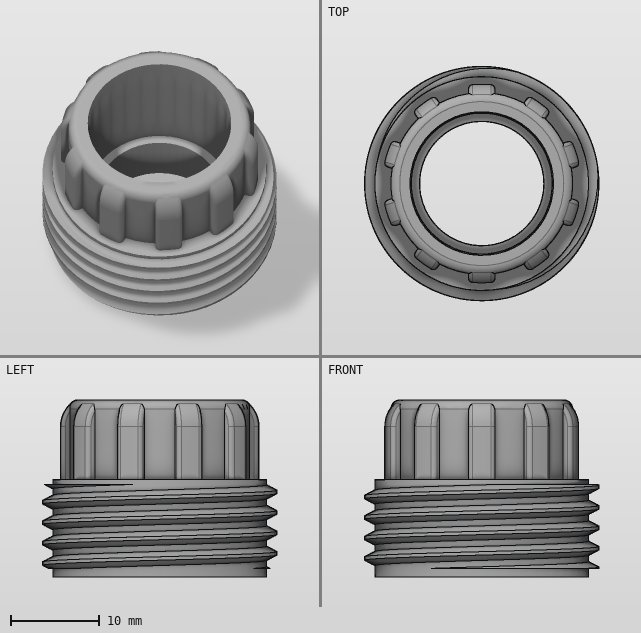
import cadquery as cq
import math

total_height = 20.0
body_height = 11.0

thread_major_diameter = 26.44
thread_minor_diameter = 24.12
pitch = 25.4 / 11
flank_half_angle = 27.5
crest_width = pitch / 6
thread_bottom = 1.0
thread_top = 10.46
crest_height_at_plus_x = 0.96
thread_root_overlap = 0.2

cap_radius = 10.25
cap_edge_fillet = 1.0

rib_count = 10
rib_outer_radius = 11.2
rib_inner_radius = 8.0
rib_width = 3.0
rib_shoulder_height = 17.0
rib_shoulder_radius = 3.5
rib_top = 19.7
rib_side_fillet = 0.5

hole_diameter = 14.0
socket_mouth_diameter = 16.2
socket_floor_diameter = 15.9
socket_depth = 14.0


def cylinder(diameter, bottom, top):
    """Cylinder on the Z axis between two heights."""
    return cq.Workplane("XY").workplane(offset=bottom).circle(diameter / 2).extrude(top - bottom)


def make_thread():
    """Right-hand helical ridge, cut flat at both ends."""
    minor_radius = thread_minor_diameter / 2
    major_radius = thread_major_diameter / 2
    inner_radius = minor_radius - thread_root_overlap
    flank_slope = math.tan(math.radians(flank_half_angle))
    half_crest = crest_width / 2
    half_base = half_crest + (major_radius - inner_radius) * flank_slope

    start_height = crest_height_at_plus_x - pitch
    turns = math.ceil((thread_top - start_height) / pitch) + 1
    path = cq.Wire.makeHelix(pitch, turns * pitch, minor_radius).translate(cq.Vector(0, 0, start_height))
    ridge = (
        cq.Workplane("XZ")
        .polyline([
            (inner_radius, start_height - half_base),
            (major_radius, start_height - half_crest),
            (major_radius, start_height + half_crest),
            (inner_radius, start_height + half_base),
        ])
        .close()
        .sweep(cq.Workplane(obj=path), isFrenet=True)
    )
    envelope = cylinder(2 * thread_major_diameter, thread_bottom, thread_top)
    return ridge.intersect(envelope)


def make_cap():
    """Round cap standing on the body, rounded at its top edge."""
    return cylinder(2 * cap_radius, 0, total_height).faces(">Z").edges().fillet(cap_edge_fillet)


def make_rib():
    """One grip rib on the +Y side: a slice of a revolved profile with rounded outer edges."""
    shoulder_centre = rib_outer_radius - rib_shoulder_radius
    rise = rib_top - rib_shoulder_height
    top_radius = shoulder_centre + math.sqrt(rib_shoulder_radius ** 2 - rise ** 2)
    half_sweep = math.asin(rise / rib_shoulder_radius) / 2
    arc_middle = (
        shoulder_centre + rib_shoulder_radius * math.cos(half_sweep),
        rib_shoulder_height + rib_shoulder_radius * math.sin(half_sweep),
    )
    ring = (
        cq.Workplane("XZ")
        .moveTo(rib_inner_radius, body_height)
        .lineTo(rib_outer_radius, body_height)
        .lineTo(rib_outer_radius, rib_shoulder_height)
        .threePointArc(arc_middle, (top_radius, rib_top))
        .lineTo(rib_inner_radius, rib_top)
        .close()
        .revolve(360, (0, 0, 0), (0, 1, 0))
    )
    slab = cq.Workplane("XY").box(
        rib_width, 2 * rib_outer_radius, total_height, centered=(True, False, False)
    )
    rib = ring.intersect(slab)

    outer_zone = cq.selectors.BoxSelector(
        (-rib_width, (rib_inner_radius + top_radius) / 2, body_height + rib_side_fillet),
        (rib_width, 2 * rib_outer_radius, rib_top - rib_side_fillet),
    )
    outer_edges = rib.faces("<X or >X").edges(outer_zone)
    return outer_edges.fillet(rib_side_fillet)


def make_bore():
    """Revolved bore: straight hole below, tapered socket above."""
    socket_floor = total_height - socket_depth
    return (
        cq.Workplane("XZ")
        .polyline([
            (0, 0),
            (hole_diameter / 2, 0),
            (hole_diameter / 2, socket_floor),
            (socket_floor_diameter / 2, socket_floor),
            (socket_mouth_diameter / 2, total_height),
            (0, total_height),
        ])
        .close()
        .revolve()
    )


part = make_cap().union(cylinder(thread_minor_diameter, 0, body_height))

rib = make_rib()
for index in range(rib_count):
    part = part.union(rib.rotate((0, 0, 0), (0, 0, 1), index * 360 / rib_count))

part = part.union(make_thread())
result = part.cut(make_bore())